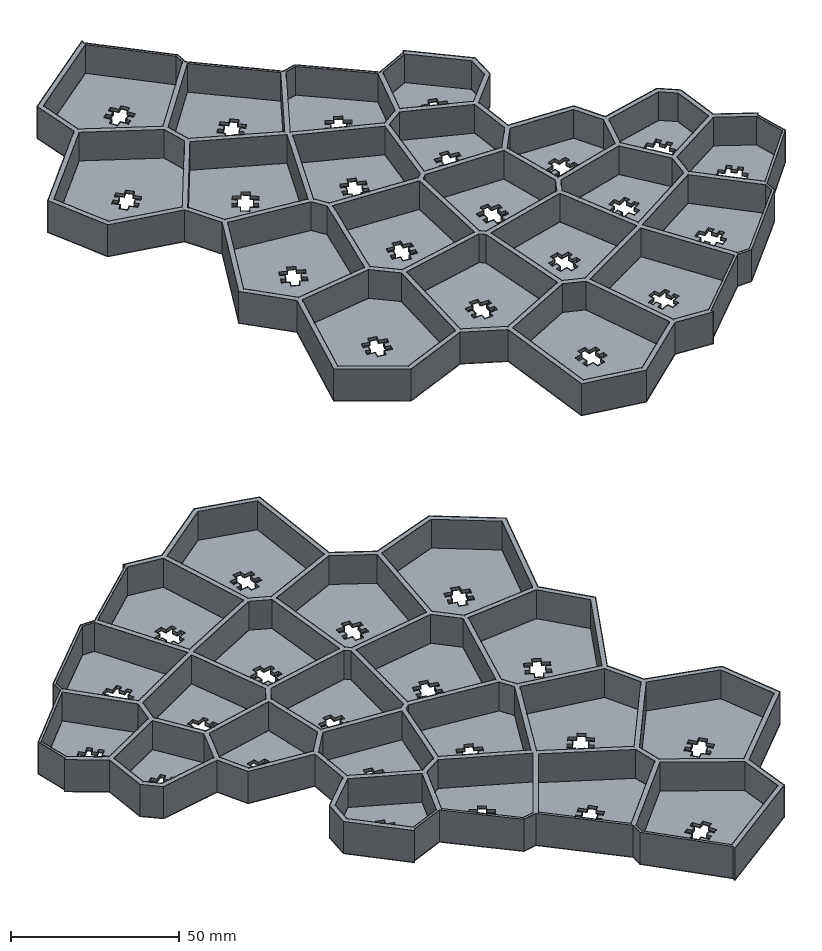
import cadquery as cq
import math


GOLDEN_ANGLE = math.pi * (3 - math.sqrt(5))
SPIRAL_CENTER_X = 13.3
SPIRAL_CENTER_Y = 129.0
OUTERMOST_SEED = 142
RADIUS_OF_OUTERMOST_SEED = 185.3
SEED_SPACING = RADIUS_OF_OUTERMOST_SEED / OUTERMOST_SEED

STRIP_STEP = 21

TRAY_STRIPS = [(61, 4), (74, 4), (66, 4), (58, 5), (71, 4)]
ADJOINING_STRIPS = [(69, 3), (63, 4)]

HEIGHT = 12.0
FLOOR = 1.2
WALL = 1.6
HALF_WALL = WALL / 2

BAR_LENGTH = 9.0
BAR_WIDTH = 2.7
BLOCK_WIDTH = 5.2
BLOCK_LENGTH = 8.0
NOTCH_WIDTH = 1.8
NOTCH_GAP = 4.7

SEARCH_RADIUS = 67.7
SEED_COUNT = 220


def seed(index):
    """Position of a seed on the spiral."""
    radius = SEED_SPACING * index
    angle = -GOLDEN_ANGLE * index
    return (
        SPIRAL_CENTER_X + radius * math.cos(angle),
        SPIRAL_CENTER_Y + radius * math.sin(angle),
    )


def strip_seeds(strips):
    """All seed indices of the given strips."""
    return [first + STRIP_STEP * place for first, count in strips for place in range(count)]


def clip(polygon, normal, limit):
    """Keep the part of a convex polygon where the distance along normal is at most limit."""
    kept = []
    for start, end in zip(polygon, polygon[1:] + polygon[:1]):
        over_start = start[0] * normal[0] + start[1] * normal[1] - limit
        over_end = end[0] * normal[0] + end[1] * normal[1] - limit
        if over_start <= 0:
            kept.append(start)
        if over_start * over_end < 0:
            share = over_start / (over_start - over_end)
            kept.append((
                start[0] + share * (end[0] - start[0]),
                start[1] + share * (end[1] - start[1]),
            ))
    return kept


def region(index, offset):
    """Outline of the region nearest to a seed, with its sides moved outward by offset."""
    x, y = seed(index)
    left, right = x - SEARCH_RADIUS, x + SEARCH_RADIUS
    front, back = y - SEARCH_RADIUS, y + SEARCH_RADIUS
    polygon = [(left, front), (right, front), (right, back), (left, back)]
    for other in range(SEED_COUNT):
        other_x, other_y = seed(other)
        distance = math.hypot(other_x - x, other_y - y)
        if other == index or distance > SEARCH_RADIUS:
            continue
        normal = ((other_x - x) / distance, (other_y - y) / distance)
        limit = x * normal[0] + y * normal[1] + distance / 2 + offset
        polygon = clip(polygon, normal, limit)
    return polygon


def prism(index, offset, bottom):
    """Region of a seed raised from bottom to the top of the tray."""
    outline = cq.Workplane("XY", origin=(0, 0, bottom)).polyline(region(index, offset)).close()
    return outline.extrude(HEIGHT - bottom)


def floor_opening(index):
    """Notched cross through the floor, its bar square to the direction of the strip."""
    x, y = seed(index)
    next_x, next_y = seed(index + STRIP_STEP)
    turn = math.degrees(math.atan2(next_y - y, next_x - x)) + 90
    notch_depth = (BLOCK_LENGTH - NOTCH_GAP) / 2
    notch_offset = (NOTCH_GAP + notch_depth) / 2
    tool = cq.Workplane("XY").rect(BLOCK_WIDTH, BLOCK_LENGTH).extrude(FLOOR)
    for side in (-1, 1):
        notch = cq.Workplane("XY").center(0, side * notch_offset)
        tool = tool.cut(notch.rect(NOTCH_WIDTH, notch_depth).extrude(FLOOR))
    tool = tool.union(cq.Workplane("XY").rect(BAR_LENGTH, BAR_WIDTH).extrude(FLOOR))
    return tool.rotate((0, 0, 0), (0, 0, 1), turn).translate((x, y, 0))


tray_seeds = strip_seeds(TRAY_STRIPS)

tray = prism(tray_seeds[0], HALF_WALL, 0)
for index in tray_seeds[1:]:
    tray = tray.union(prism(index, HALF_WALL, 0))

for index in strip_seeds(ADJOINING_STRIPS):
    tray = tray.cut(prism(index, 0, 0))

for index in tray_seeds:
    tray = tray.cut(prism(index, -HALF_WALL, FLOOR))
    tray = tray.cut(floor_opening(index))

result = tray.clean()